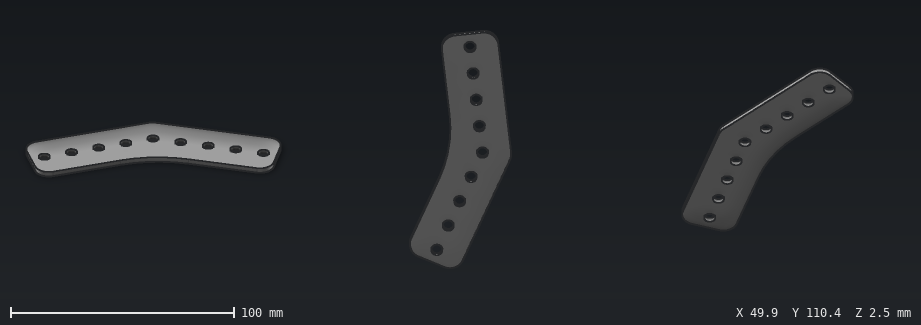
import cadquery as cq
import math

hole_pitch = 12.7
holes_per_arm = 4
hole_diameter = 4.98
thickness = 2.5
bend_angle = 30.0
inner_bend_radius = 58.5
end_clearance = 0.127

half_width = hole_pitch
corner_radius = hole_pitch / 2
arm_length = holes_per_arm * hole_pitch + hole_pitch / 2 - end_clearance
tilt = math.radians(bend_angle)
bend_offset = half_width * math.tan(tilt / 2)


def on_upper_arm(along, across):
    """Point at a distance along the tilted arm and to the right of its centre line."""
    x = along * math.sin(tilt) + across * math.cos(tilt)
    y = along * math.cos(tilt) - across * math.sin(tilt)
    return (x, y)


def make_plate():
    """Bent strip with the bend hole at the origin and rounded corners."""
    outer_bend = (-half_width, bend_offset)
    inner_bend = (half_width, -bend_offset)
    lower_corners = [(half_width, -arm_length), (-half_width, -arm_length)]
    upper_corners = [on_upper_arm(arm_length, -half_width), on_upper_arm(arm_length, half_width)]
    outline = [outer_bend, *upper_corners, inner_bend, *lower_corners]
    plate = cq.Workplane("XY").polyline(outline).close().extrude(thickness)

    for x, y in [outer_bend, *upper_corners, *lower_corners]:
        plate = plate.edges(cq.NearestToPointSelector((x, y, thickness / 2))).fillet(corner_radius)
    inner_edge = cq.NearestToPointSelector((*inner_bend, thickness / 2))
    return plate.edges(inner_edge).fillet(inner_bend_radius)


def hole_centres():
    """One hole at the bend and an evenly spaced row along each arm."""
    centres = [(0, 0)]
    for index in range(1, holes_per_arm + 1):
        distance = index * hole_pitch
        centres.append((0, -distance))
        centres.append(on_upper_arm(distance, 0))
    return centres


def make_holes():
    return cq.Workplane("XY").pushPoints(hole_centres()).circle(hole_diameter / 2).extrude(thickness)


result = make_plate().cut(make_holes())